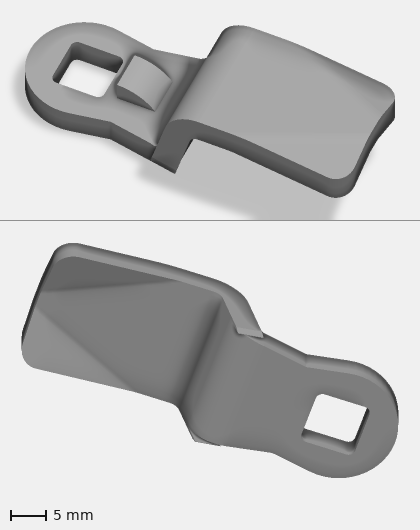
import cadquery as cq
import math

length = 54.0
arm_width = 19.0
height = 14.0
thickness = 4.0

inner_radius = 1.5
outer_radius = inner_radius + thickness

head_radius = 8.5
waist_x = 16.0
waist_half_width = 7.33
flare_angle = 10.0

hole_x = 9.0
hole_size = 8.1
hole_corner_radius = 1.0

stop_x = 15.0
stop_length = 6.0
stop_width = 6.0
stop_height = 3.0

arm_angle = 75.0
upper_bend_x = 30.82
shoulder_taper_length = 1.3
bend_end_half_width = 9.2

fold_x = 35.3
fold_line_angle = 24.5
fold_angle = 20.0
tip_corner_radius = 3.0

arm_half_width = arm_width / 2
flare_slope = math.tan(math.radians(flare_angle))
arm_cos = math.cos(math.radians(arm_angle))
arm_sin = math.sin(math.radians(arm_angle))
lower_bend_z = thickness + inner_radius
upper_bend_z = height - outer_radius
lower_bend_x = upper_bend_x - (
    inner_radius + outer_radius + (upper_bend_z - lower_bend_z) * arm_cos
) / arm_sin
neck_half_width = waist_half_width + (lower_bend_x - waist_x) * flare_slope

reach = 30.0


def on_arc(center_x, center_z, radius, angle):
    """XZ point on a circle, with the angle in degrees measured from +X towards +Z."""
    turn = math.radians(angle)
    return (center_x + radius * math.cos(turn), center_z + radius * math.sin(turn))


def make_base():
    """Flat base plate with the square hole."""
    turn = math.radians(flare_angle)
    tangent_x = head_radius * (1 + math.sin(turn))
    tangent_y = head_radius * math.cos(turn)
    plate = (
        cq.Workplane("XY")
        .moveTo(tangent_x, tangent_y)
        .threePointArc((0, 0), (tangent_x, -tangent_y))
        .lineTo(waist_x, -waist_half_width)
        .lineTo(lower_bend_x, -neck_half_width)
        .lineTo(lower_bend_x, neck_half_width)
        .lineTo(waist_x, waist_half_width)
        .close()
        .extrude(thickness)
    )
    hole = (
        cq.Workplane("XY")
        .center(hole_x, 0)
        .rect(hole_size, hole_size)
        .extrude(thickness)
        .edges("|Z")
        .fillet(hole_corner_radius)
    )
    return plate.cut(hole)


def make_stop():
    """Cam whose rounded back is tangent to the horizontal at its front face."""
    back_radius = (stop_length**2 + stop_height**2) / (2 * stop_height)
    crest_z = thickness + stop_height
    half_sweep = math.degrees(math.asin(stop_length / back_radius)) / 2
    middle = on_arc(stop_x, crest_z - back_radius, back_radius, 90 - half_sweep)
    return (
        cq.Workplane("XZ")
        .moveTo(stop_x, thickness)
        .lineTo(stop_x, crest_z)
        .threePointArc(middle, (stop_x + stop_length, thickness))
        .close()
        .extrude(stop_width / 2, both=True)
    )


def bend_side_cutter():
    """Body outside one flank of the lower bend; the flank widens as the bend rises."""
    radial_start = inner_radius / 2
    radial_end = outer_radius + inner_radius
    overrun = 5.0
    section_count = 6
    growth = (bend_end_half_width - neck_half_width) / arm_sin
    wires = []
    for index in range(section_count):
        bend = -overrun + (arm_angle + 2 * overrun) * index / (section_count - 1)
        flank_y = neck_half_width + growth * math.sin(math.radians(bend))
        near_x, near_z = on_arc(lower_bend_x, lower_bend_z, radial_start, bend - 90)
        far_x, far_z = on_arc(lower_bend_x, lower_bend_z, radial_end, bend - 90)
        corners = [
            cq.Vector(near_x, flank_y, near_z),
            cq.Vector(far_x, flank_y, far_z),
            cq.Vector(far_x, arm_width, far_z),
            cq.Vector(near_x, arm_width, near_z),
        ]
        wires.append(cq.Wire.makePolygon(corners, close=True))
    return cq.Workplane(cq.Solid.makeLoft(wires))


def make_lower_bend():
    """Bend from the base up into the arm, with flared flanks."""
    start = -90
    end = arm_angle - 90
    middle = (start + end) / 2
    center = (lower_bend_x, lower_bend_z)
    sector = (
        cq.Workplane("XZ")
        .moveTo(*on_arc(*center, inner_radius, start))
        .threePointArc(on_arc(*center, inner_radius, middle), on_arc(*center, inner_radius, end))
        .lineTo(*on_arc(*center, outer_radius, end))
        .threePointArc(on_arc(*center, outer_radius, middle), on_arc(*center, outer_radius, start))
        .close()
        .extrude(arm_half_width, both=True)
    )
    cutter = bend_side_cutter()
    return sector.cut(cutter).cut(cutter.mirror("XZ"))


def arm_front_plane(point):
    """Plane on the front face of the arm at an XZ point: X runs up the arm, Z into the sheet."""
    return cq.Plane(
        origin=(point[0], 0, point[1]),
        xDir=(arm_cos, 0, arm_sin),
        normal=(arm_sin, 0, -arm_cos),
    )


def make_arm():
    """Inclined arm with the upper bend and two narrow shoulders beside the lower bend.

    The lower end is square to the arm and its rear edge lies in the base underside plane.
    """
    start = arm_angle + 90
    middle = (start + 90) / 2
    center = (upper_bend_x, upper_bend_z)
    outer_start = on_arc(*center, outer_radius, start)
    inner_start = on_arc(*center, inner_radius, start)
    back_foot = (inner_start[0] - inner_start[1] * arm_cos / arm_sin, 0)
    front_foot = (back_foot[0] - thickness * arm_sin, thickness * arm_cos)
    arm = (
        cq.Workplane("XZ")
        .moveTo(*back_foot)
        .lineTo(*front_foot)
        .lineTo(*outer_start)
        .threePointArc(on_arc(*center, outer_radius, middle), on_arc(*center, outer_radius, 90))
        .lineTo(*on_arc(*center, inner_radius, 90))
        .threePointArc(on_arc(*center, inner_radius, middle), inner_start)
        .close()
        .extrude(arm_half_width, both=True)
    )
    taper_inset = shoulder_taper_length * flare_slope
    for side in (-1, 1):
        wedge = (
            cq.Workplane(arm_front_plane(front_foot))
            .moveTo(0, side * arm_half_width)
            .lineTo(0, side * (arm_half_width - taper_inset))
            .lineTo(shoulder_taper_length, side * arm_half_width)
            .close()
            .extrude(thickness)
        )
        arm = arm.cut(wedge)
    bend_end = on_arc(lower_bend_x, lower_bend_z, inner_radius, arm_angle - 90)
    below_bend_end = (
        cq.Workplane(arm_front_plane(bend_end))
        .center(-reach / 2, 0)
        .rect(reach, 2 * bend_end_half_width)
        .extrude(thickness)
    )
    return arm.cut(below_bend_end)


def make_grip():
    """Flat grip with rounded tip corners, each side folded down along an oblique line."""
    line_turn = math.radians(fold_line_angle)
    fold_plane = cq.Plane(
        origin=(fold_x, arm_half_width, height),
        xDir=(math.sin(line_turn), math.cos(line_turn), 0),
        normal=(math.cos(line_turn), -math.sin(line_turn), 0),
    )
    center = (0, -outer_radius)
    end = 90 - fold_angle
    middle = 90 - fold_angle / 2
    outer_end = on_arc(*center, outer_radius, end)
    inner_end = on_arc(*center, inner_radius, end)
    flap_x = reach * math.cos(math.radians(fold_angle))
    flap_z = -reach * math.sin(math.radians(fold_angle))
    folded_sheet = (
        cq.Workplane(fold_plane)
        .moveTo(-reach, 0)
        .lineTo(0, 0)
        .threePointArc(on_arc(*center, outer_radius, middle), outer_end)
        .line(flap_x, flap_z)
        .lineTo(inner_end[0] + flap_x, inner_end[1] + flap_z)
        .lineTo(*inner_end)
        .threePointArc(on_arc(*center, inner_radius, middle), (0, -thickness))
        .lineTo(-reach, -thickness)
        .close()
        .extrude(reach, both=True)
    )
    half_outline = (
        cq.Workplane("XY")
        .moveTo(upper_bend_x, 0)
        .lineTo(length, 0)
        .lineTo(length, arm_half_width - tip_corner_radius)
        .radiusArc((length - tip_corner_radius, arm_half_width), -tip_corner_radius)
        .lineTo(upper_bend_x, arm_half_width)
        .close()
        .extrude(height)
    )
    half_grip = half_outline.intersect(folded_sheet)
    return half_grip.union(half_grip.mirror("XZ"))


result = (
    make_base()
    .union(make_stop())
    .union(make_lower_bend())
    .union(make_arm())
    .union(make_grip())
    .clean()
)